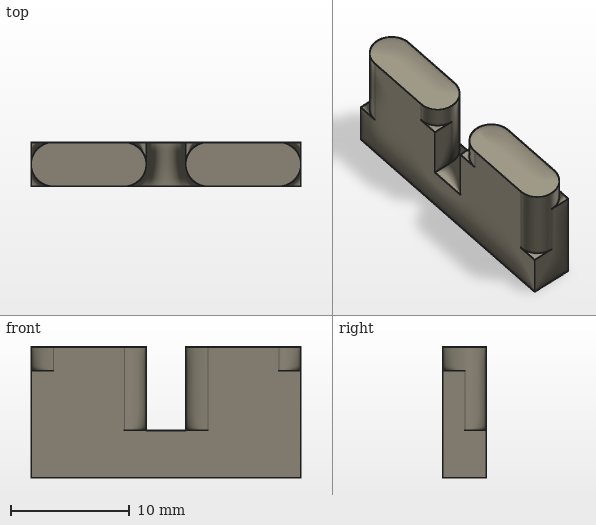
import cadquery as cq

length = 22.7
depth = 3.7
height = 11.0
base_height = 4.0
ledge_drop = 2.0
prong_gap = 3.31

ledge_height = height - ledge_drop
prong_length = (length - prong_gap) / 2
prong_offset = (prong_gap + prong_length) / 2
end_radius = depth / 2


def block(x_start, x_end, y_start, y_end, top):
    """Box standing on the bottom plane between the given limits."""
    size = (x_end - x_start, y_end - y_start, top)
    return cq.Workplane("XY").box(*size, centered=False).translate((x_start, y_start, 0))


def prong(side):
    """Upright with rounded ends and two ledges filling opposite corners."""
    center = side * prong_offset
    upright = cq.Workplane("XY").center(center, 0).slot2D(prong_length, depth).extrude(height)

    outer_end = side * length / 2
    inner_end = side * prong_gap / 2
    front_limits = sorted((center, outer_end))
    back_limits = sorted((center, inner_end))
    front_ledge = block(*front_limits, -end_radius, 0, ledge_height)
    back_ledge = block(*back_limits, 0, end_radius, ledge_height)
    return upright.union(front_ledge).union(back_ledge)


result = block(-length / 2, length / 2, -depth / 2, depth / 2, base_height)
for side in (-1, 1):
    result = result.union(prong(side))